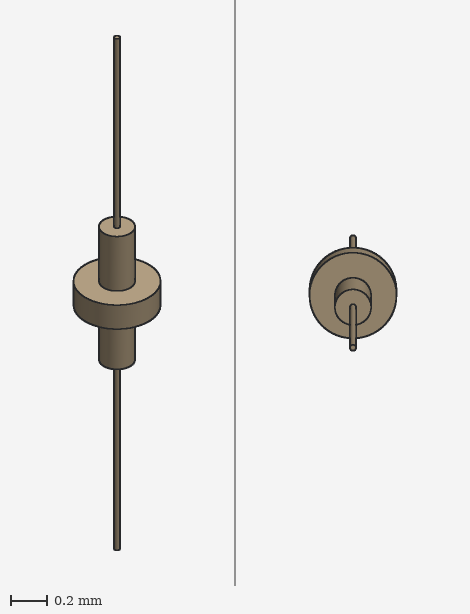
import cadquery as cq

wire_length = 3.38
wire_diameter = 0.035
sleeve_length = 0.88
sleeve_diameter = 0.2
flange_thickness = 0.16
flange_diameter = 0.48


def centred_cylinder(diameter, length):
    """Solid cylinder along Z, centred on the origin."""
    return cq.Workplane("XY").cylinder(length, diameter / 2)


wire = centred_cylinder(wire_diameter, wire_length)
sleeve = centred_cylinder(sleeve_diameter, sleeve_length)
flange = centred_cylinder(flange_diameter, flange_thickness)

result = flange.union(sleeve).union(wire)